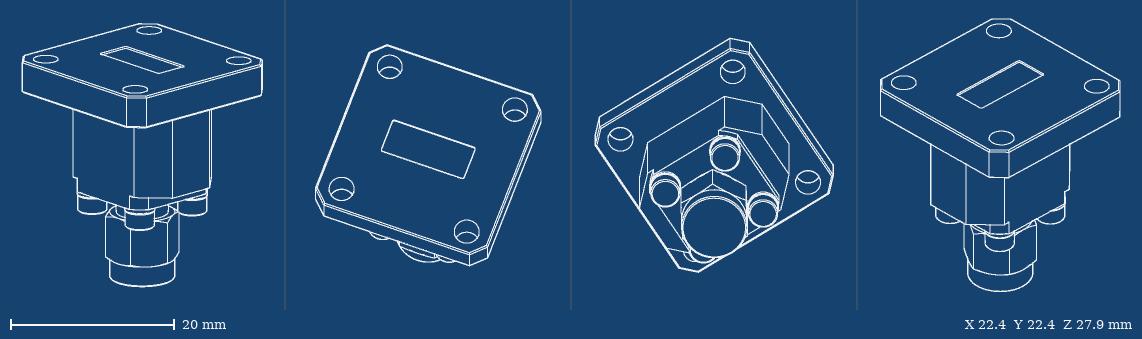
import cadquery as cq
import math


TOTAL_HEIGHT = 27.85
PLATE_SIDE = 22.4
PLATE_THICKNESS = 4.07
PLATE_CORNER_CUT = 1.73
PLATE_EDGE_CHAMFER = 0.2
MOUNT_HOLE_DIAMETER = 3.05
MOUNT_HOLE_SPACING_X = 16.27
MOUNT_HOLE_SPACING_Y = 17.05

WINDOW_LENGTH = 10.75
WINDOW_WIDTH = 4.35
WINDOW_DEPTH = 0.25
WINDOW_CORNER_RADIUS = 0.25

BLOCK_LENGTH = 17.77
BLOCK_WIDTH = 12.75
BLOCK_CORNER_CUT = 3.32
PAD_SIDE = BLOCK_WIDTH
PAD_CORNER_DIAMETER = 15.88
PAD_BOTTOM_Z = 11.17
BLOCK_BOTTOM_Z = 12.9
PLATE_BOTTOM_Z = TOTAL_HEIGHT - PLATE_THICKNESS

NECK_DIAMETER = 6.35
ROUND_END_DIAMETER = 7.97
HEX_ACROSS_FLATS = ROUND_END_DIAMETER
HEX_ACROSS_CORNERS = HEX_ACROSS_FLATS / math.cos(math.radians(30))
HEX_BOTTOM_Z = 2.55
HEX_TOP_Z = 8.4
HEX_CHAMFER_ANGLE = 30.0
END_CHAMFER = 0.17

SCREW_SPACING = 8.65
WASHER_DIAMETER = 3.73
WASHER_THICKNESS = 0.5
SCREW_HEAD_DIAMETER = 3.57
SCREW_HEAD_HEIGHT = 2.2
SCREW_HEAD_CHAMFER = 0.17
WASHER_BOTTOM_Z = PAD_BOTTOM_Z - WASHER_THICKNESS


def cylinder(diameter, bottom_z, top_z):
    return cq.Workplane("XY").workplane(offset=bottom_z).circle(diameter / 2).extrude(top_z - bottom_z)


def rectangular_prism(size_x, size_y, bottom_z, top_z):
    return cq.Workplane("XY").workplane(offset=bottom_z).rect(size_x, size_y).extrude(top_z - bottom_z)


def make_plate():
    plate = (
        rectangular_prism(PLATE_SIDE, PLATE_SIDE, PLATE_BOTTOM_Z, TOTAL_HEIGHT)
        .edges("|Z").chamfer(PLATE_CORNER_CUT)
        .faces("<Z or >Z").edges().chamfer(PLATE_EDGE_CHAMFER)
    )
    mount_holes = (
        cq.Workplane("XY").workplane(offset=PLATE_BOTTOM_Z)
        .rect(MOUNT_HOLE_SPACING_X, MOUNT_HOLE_SPACING_Y, forConstruction=True).vertices()
        .circle(MOUNT_HOLE_DIAMETER / 2).extrude(PLATE_THICKNESS)
    )
    window = (
        rectangular_prism(WINDOW_LENGTH, WINDOW_WIDTH, TOTAL_HEIGHT - WINDOW_DEPTH, TOTAL_HEIGHT)
        .edges("|Z").fillet(WINDOW_CORNER_RADIUS)
    )
    return plate.cut(mount_holes).cut(window)


def make_block():
    """Block with cut corners above a square pad whose corners lie on a circle about the Z axis."""
    block = (
        rectangular_prism(BLOCK_LENGTH, BLOCK_WIDTH, BLOCK_BOTTOM_Z, PLATE_BOTTOM_Z)
        .edges("|Z").chamfer(BLOCK_CORNER_CUT)
    )
    square = rectangular_prism(PAD_SIDE, PAD_SIDE, PAD_BOTTOM_Z, BLOCK_BOTTOM_Z)
    pad = square.intersect(cylinder(PAD_CORNER_DIAMETER, PAD_BOTTOM_Z, BLOCK_BOTTOM_Z))
    return block.union(pad)


def make_hexagon():
    """Hexagon whose corners are bevelled by a cone at each end."""
    hexagon = (
        cq.Workplane("XY").workplane(offset=HEX_BOTTOM_Z)
        .polygon(6, HEX_ACROSS_CORNERS).extrude(HEX_TOP_Z - HEX_BOTTOM_Z)
    )
    flat_radius = HEX_ACROSS_FLATS / 2
    corner_radius = HEX_ACROSS_CORNERS / 2
    bevel_height = (corner_radius - flat_radius) * math.tan(math.radians(HEX_CHAMFER_ANGLE))
    bevel_envelope = (
        cq.Workplane("XZ")
        .moveTo(0, HEX_BOTTOM_Z)
        .lineTo(flat_radius, HEX_BOTTOM_Z)
        .lineTo(corner_radius, HEX_BOTTOM_Z + bevel_height)
        .lineTo(corner_radius, HEX_TOP_Z - bevel_height)
        .lineTo(flat_radius, HEX_TOP_Z)
        .lineTo(0, HEX_TOP_Z)
        .close()
        .revolve(360, (0, 0, 0), (0, 1, 0))
    )
    return hexagon.intersect(bevel_envelope)


def make_connector():
    neck = cylinder(NECK_DIAMETER, HEX_TOP_Z, PAD_BOTTOM_Z)
    round_end = cylinder(ROUND_END_DIAMETER, 0, HEX_BOTTOM_Z).faces("<Z").chamfer(END_CHAMFER)
    return neck.union(make_hexagon()).union(round_end)


def make_housing():
    return make_plate().union(make_block()).union(make_connector())


def make_washer(x, y):
    return cylinder(WASHER_DIAMETER, WASHER_BOTTOM_Z, PAD_BOTTOM_Z).translate((x, y, 0))


def make_screw(x, y):
    """Screw head with both rims bevelled."""
    head = cylinder(SCREW_HEAD_DIAMETER, WASHER_BOTTOM_Z - SCREW_HEAD_HEIGHT, WASHER_BOTTOM_Z)
    return head.faces("<Z or >Z").edges().chamfer(SCREW_HEAD_CHAMFER).translate((x, y, 0))


housing = make_housing()

washers = []
screws = []
for x_side in (-1, 1):
    for y_side in (-1, 1):
        screw_x = x_side * SCREW_SPACING / 2
        screw_y = y_side * SCREW_SPACING / 2
        washers.append(make_washer(screw_x, screw_y).val())
        screws.append(make_screw(screw_x, screw_y).val())

result = cq.Compound.makeCompound([housing.val(), *washers, *screws])